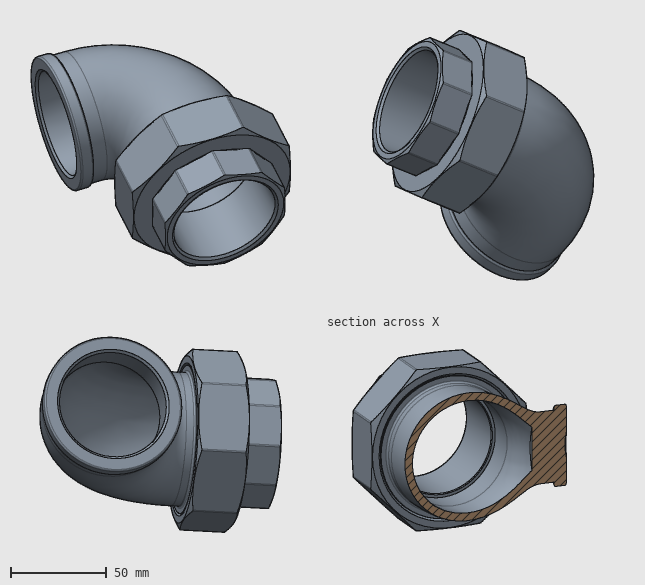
import cadquery as cq
import math


overall_length = 130.5

bend_radius = 43.0
pipe_radius = 70.0 / 2
pipe_bore_radius = 61.0 / 2
thread_radius = 56.6 / 2
thread_mouth_radius = 59.2 / 2
inlet_length = 58.1
inlet_thread_length = 19.6
thread_sleeve_radius = 32.6
collar_radius = 73.0 / 2
collar_length = 7.2
collar_fillet = 0.9
hub_face_x = 48.0
hub_radius = 77.5 / 2
hub_fillet = 1.0

nut_sides = 8
nut_flats = 88.0
nut_start_x = 47.8
nut_end_x = 74.9
nut_lip = 6.5
nut_bore_radius = 77.8 / 2
nut_mouth_radius = 80.0 / 2
nut_face_radius = 87.5 / 2
nut_bevel_angle = 26
nut_edge_fillet = 1.2

tail_sides = 10
tail_flats = 67.0
tail_grip_x = 75.3
tail_end_x = overall_length - collar_radius
tail_flange_length = 9.4
tail_neck_radius = 66.5 / 2
tail_face_radius = 65.2 / 2
tail_bevel_angle = 20
tail_joint_chamfer = 0.5
tail_edge_fillet = 1.5

bevel_reach = 6.5

lip_x = nut_end_x - nut_lip
joint_x = lip_x - tail_flange_length


def disc(start_x, end_x, radius):
    """Cylinder on the outlet axis."""
    return cq.Workplane("YZ", origin=(start_x, 0, 0)).circle(radius).extrude(end_x - start_x)


def turned(points):
    """Revolve an (x, radius) outline about the outlet axis."""
    return cq.Workplane("XY").polyline(points).close().revolve(360, (0, 0, 0), (1, 0, 0))


def mouth_cone(face_x, depth, face_radius, bore_radius):
    """Countersink cutter from face_radius at face_x to bore_radius at face_x + depth."""
    inner_x = face_x + depth
    return turned([(face_x, 0), (face_x, face_radius), (inner_x, bore_radius), (inner_x, 0)])


def prism(start_x, end_x, sides, flats, turn, edge_fillet):
    """Regular prism on the outlet axis with its long edges rounded."""
    corner_diameter = flats / math.cos(math.pi / sides)
    blank = (
        cq.Workplane("YZ", origin=(start_x, 0, 0))
        .transformed(rotate=(0, 0, turn))
        .polygon(sides, corner_diameter)
        .extrude(end_x - start_x)
    )
    return blank.edges("|X").fillet(edge_fillet)


def bevel_envelope(start_x, end_x, face_radius, bevel_angle, bevel_start):
    """Turned blank whose end cones bevel the corners of a prism."""
    slope = bevel_reach * math.tan(math.radians(bevel_angle))
    outer = face_radius + bevel_reach
    points = [(end_x, 0), (end_x, face_radius), (end_x - slope, outer)]
    if bevel_start:
        points += [(start_x + slope, outer), (start_x, face_radius)]
    else:
        points += [(start_x, outer)]
    return turned(points + [(start_x, 0)])


def bent_pipe(radius):
    """Quarter bend from the inlet leg to the outlet leg."""
    return (
        cq.Workplane("XZ", origin=(0, -bend_radius, 0))
        .circle(radius)
        .revolve(90, (bend_radius, 0, 0), (bend_radius, -1, 0))
    )


def inlet_disc(start, end, radius):
    """Cylinder on the inlet axis, between two distances from the origin."""
    return cq.Workplane("XZ", origin=(0, -start, 0)).circle(radius).extrude(end - start)


def make_elbow():
    collar = inlet_disc(inlet_length - collar_length, inlet_length, collar_radius)
    collar = collar.edges().fillet(collar_fillet)
    fillet_start_x = hub_face_x - hub_fillet
    hub = (
        cq.Workplane("XY")
        .moveTo(fillet_start_x, 0)
        .lineTo(fillet_start_x, pipe_radius)
        .radiusArc((hub_face_x, pipe_radius + hub_fillet), -hub_fillet)
        .lineTo(hub_face_x, hub_radius)
        .lineTo(joint_x, hub_radius)
        .lineTo(joint_x, 0)
        .close()
        .revolve(360, (0, 0, 0), (1, 0, 0))
    )
    body = (
        bent_pipe(pipe_radius)
        .union(inlet_disc(bend_radius, inlet_length - collar_length, pipe_radius))
        .union(collar)
        .union(disc(bend_radius, fillet_start_x, pipe_radius))
        .union(hub)
    )

    thread_end = inlet_length - inlet_thread_length
    mouth_depth = thread_mouth_radius - thread_radius
    mouth = mouth_cone(inlet_length, -mouth_depth, thread_mouth_radius, thread_radius)
    mouth = mouth.rotate((0, 0, 0), (0, 0, 1), -90)
    thread_sleeve = inlet_disc(thread_end, inlet_length, thread_sleeve_radius)
    bend_bore = bent_pipe(pipe_bore_radius).cut(thread_sleeve)
    return (
        body.cut(bend_bore)
        .cut(disc(bend_radius, joint_x, pipe_bore_radius))
        .cut(inlet_disc(thread_end, inlet_length, thread_radius))
        .cut(mouth)
    )


def make_nut():
    blank = prism(nut_start_x, nut_end_x, nut_sides, nut_flats, 180 / nut_sides, nut_edge_fillet)
    bevels = bevel_envelope(nut_start_x, nut_end_x, nut_face_radius, nut_bevel_angle, True)
    mouth_depth = nut_mouth_radius - nut_bore_radius
    return (
        blank.intersect(bevels)
        .cut(disc(nut_start_x, lip_x, nut_bore_radius))
        .cut(disc(lip_x, nut_end_x, tail_neck_radius))
        .cut(mouth_cone(nut_start_x, mouth_depth, nut_mouth_radius, nut_bore_radius))
    )


def make_tail():
    grip = prism(tail_grip_x, tail_end_x, tail_sides, tail_flats, 90, tail_edge_fillet)
    bevels = bevel_envelope(tail_grip_x, tail_end_x, tail_face_radius, tail_bevel_angle, False)
    mouth_depth = thread_mouth_radius - thread_radius
    joint_mouth_radius = thread_radius + tail_joint_chamfer
    return (
        grip.intersect(bevels)
        .union(disc(lip_x, tail_grip_x, tail_neck_radius))
        .union(disc(joint_x, lip_x, hub_radius))
        .cut(disc(joint_x, tail_end_x, thread_radius))
        .cut(mouth_cone(joint_x, tail_joint_chamfer, joint_mouth_radius, thread_radius))
        .cut(mouth_cone(tail_end_x, -mouth_depth, thread_mouth_radius, thread_radius))
    )


elbow = make_elbow()
nut = make_nut()
tail = make_tail()
result = cq.Compound.makeCompound([elbow.val(), nut.val(), tail.val()])